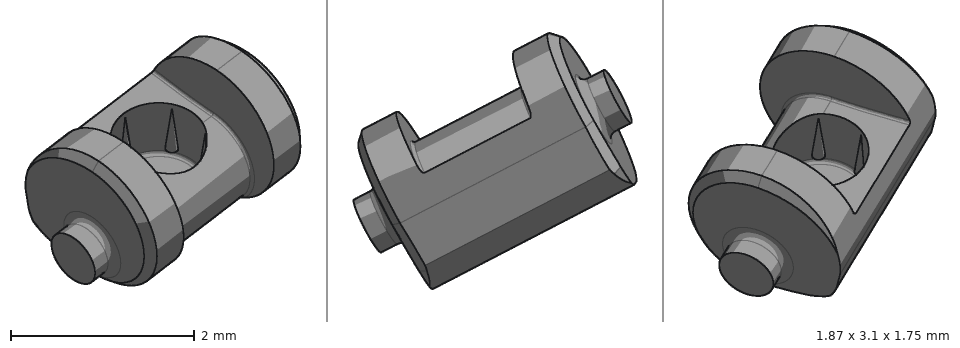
import cadquery as cq
import math

TOTAL_LENGTH = 3.1
BODY_LENGTH = 2.5
PIN_DIAMETER = 0.65
PIN_FILLET = 0.1
CHAMFER = 0.1

CAM_HEIGHT = 1.75
ROUND_RADIUS = CAM_HEIGHT / 2
TOP_Z = 1.22
BOTTOM_Z = TOP_Z - CAM_HEIGHT
ROUND_CENTER_Z = TOP_Z - ROUND_RADIUS
LEFT_RADIUS = 0.992
LEFT_CENTER_Z = TOP_Z - LEFT_RADIUS
FLANK_START_ANGLE = -3
FLANK_END = (-0.942, -0.102)
CORNER_MIDDLE = (-0.82, -0.315)
CORNER_END = (-0.565, -0.485)
BELLY_MIDDLE = (-0.307, -0.52)

FACE_LEFT_RADIUS = 1.04
FACE_BELLY_MIDDLE = (-0.31, -0.412)
FACE_BELLY_END = (-0.62, -0.365)
FACE_CORNER_MIDDLE = (-0.875, -0.248)
FACE_CORNER_END = (-1.055, -0.062)

SADDLE_RADIUS = 0.577
SADDLE_FILLET = 0.037
CHEEK_GAP_AT_TOP = 1.495
CHEEK_SLOPE = math.radians(5)
CLEARANCE = 1.86
SELECT_MARGIN = 0.003

HOLE_DIAMETER = 1.05
HOLE_X = -0.198
HOLE_Y = 0.035
HOLE_FLOOR_Z = -0.205
HOLE_FLOOR_FILLET = 0.045
RIB_HEIGHT = 0.598
RIB_RADIUS = 0.075
RIB_TIP_RADIUS = 0.003
RIB_BASE_Z = -0.102
RIB_PITCH = 60
FIRST_RIB_ANGLE = 57
RIB_COUNT = 5


def point_on_circle(radius, center_z, angle):
    a = math.radians(angle)
    return (radius * math.cos(a), center_z + radius * math.sin(a))


def xz_plane(y):
    """XZ sketch plane at the given Y, with its normal toward -Y."""
    return cq.Workplane("XZ", origin=(0, y, 0))


def cam_body():
    return (
        xz_plane(BODY_LENGTH / 2)
        .moveTo(0, BOTTOM_Z)
        .threePointArc((ROUND_RADIUS, ROUND_CENTER_Z), (0, TOP_Z))
        .threePointArc(
            point_on_circle(LEFT_RADIUS, LEFT_CENTER_Z, 135),
            point_on_circle(LEFT_RADIUS, LEFT_CENTER_Z, 180 - FLANK_START_ANGLE),
        )
        .lineTo(*FLANK_END)
        .threePointArc(CORNER_MIDDLE, CORNER_END)
        .threePointArc(BELLY_MIDDLE, (0, BOTTOM_Z))
        .close()
        .extrude(BODY_LENGTH)
    )


def chamfer_envelope():
    """45 degree flare that widens inward from the -Y end face to the middle of the body."""
    face_radius = ROUND_RADIUS - CHAMFER
    face_top = TOP_Z - CHAMFER
    face_bottom = BOTTOM_Z + CHAMFER
    left_center_z = face_top - FACE_LEFT_RADIUS
    half = BODY_LENGTH / 2
    return (
        cq.Workplane("XZ", origin=(0, -half, 0))
        .moveTo(0, face_bottom)
        .threePointArc((face_radius, ROUND_CENTER_Z), (0, face_top))
        .threePointArc(
            point_on_circle(FACE_LEFT_RADIUS, left_center_z, 135),
            (-FACE_LEFT_RADIUS, left_center_z),
        )
        .lineTo(*FACE_CORNER_END)
        .threePointArc(FACE_CORNER_MIDDLE, FACE_BELLY_END)
        .threePointArc(FACE_BELLY_MIDDLE, (0, face_bottom))
        .close()
        .extrude(-half, taper=-45)
    )


def pin_shaft():
    """Both pins as one turned shaft, flared where it leaves the end faces."""
    r = PIN_DIAMETER / 2
    half = BODY_LENGTH / 2
    end = TOTAL_LENGTH / 2
    mid = PIN_FILLET * (1 - math.sqrt(0.5))
    flare = r + PIN_FILLET
    return (
        cq.Workplane("XY")
        .moveTo(0, -end)
        .lineTo(r, -end)
        .lineTo(r, -half - PIN_FILLET)
        .threePointArc((r + mid, -half - mid), (flare, -half))
        .lineTo(r, -half)
        .lineTo(r, half)
        .lineTo(flare, half)
        .threePointArc((r + mid, half + mid), (r, half + PIN_FILLET))
        .lineTo(r, end)
        .lineTo(0, end)
        .close()
        .revolve(360, (0, 0, 0), (0, 1, 0))
    )


def saddle_cutter():
    """Conical-sided ring above a floor that is flat on the left and round on the right."""
    slope = math.tan(CHEEK_SLOPE)
    inner = CHEEK_GAP_AT_TOP / 2 - TOP_Z * slope
    outer = inner + CLEARANCE * slope
    ring = (
        cq.Workplane("XY")
        .polyline([(0, -inner), (CLEARANCE, -outer), (CLEARANCE, outer), (0, inner)])
        .close()
        .revolve(360, (0, 0, 0), (0, 1, 0))
    )
    core = (
        xz_plane(CLEARANCE)
        .moveTo(0, SADDLE_RADIUS)
        .threePointArc((SADDLE_RADIUS, 0), (0, -SADDLE_RADIUS))
        .lineTo(0, -2 * CLEARANCE)
        .lineTo(-2 * CLEARANCE, -2 * CLEARANCE)
        .lineTo(-2 * CLEARANCE, SADDLE_RADIUS)
        .close()
        .extrude(2 * CLEARANCE)
    )
    floor_box = cq.selectors.BoxSelector(
        (-CLEARANCE, -CLEARANCE, SADDLE_RADIUS - SELECT_MARGIN),
        (SADDLE_RADIUS, CLEARANCE, SADDLE_RADIUS + SELECT_MARGIN),
    )
    return ring.cut(core).edges(floor_box).edges("not |Y").fillet(SADDLE_FILLET)


def hole_cutter():
    """Flat-bottomed hole with rounded floor edge, less the conical ribs on its wall."""
    radius = HOLE_DIAMETER / 2
    cutter = (
        cq.Workplane("XY", origin=(HOLE_X, HOLE_Y, HOLE_FLOOR_Z))
        .circle(radius)
        .extrude(TOP_Z - HOLE_FLOOR_Z)
        .faces("<Z").edges().fillet(HOLE_FLOOR_FILLET)
    )
    for i in range(RIB_COUNT):
        angle = math.radians(FIRST_RIB_ANGLE + i * RIB_PITCH)
        base = cq.Vector(
            HOLE_X + radius * math.cos(angle),
            HOLE_Y + radius * math.sin(angle),
            RIB_BASE_Z,
        )
        cutter = cutter.cut(cq.Workplane(cq.Solid.makeCone(RIB_RADIUS, RIB_TIP_RADIUS, RIB_HEIGHT, base)))
    return cutter


flare = chamfer_envelope()
envelope = flare.union(flare.mirror("XZ"))
result = cam_body().intersect(envelope).union(pin_shaft())
result = result.cut(saddle_cutter()).cut(hole_cutter())